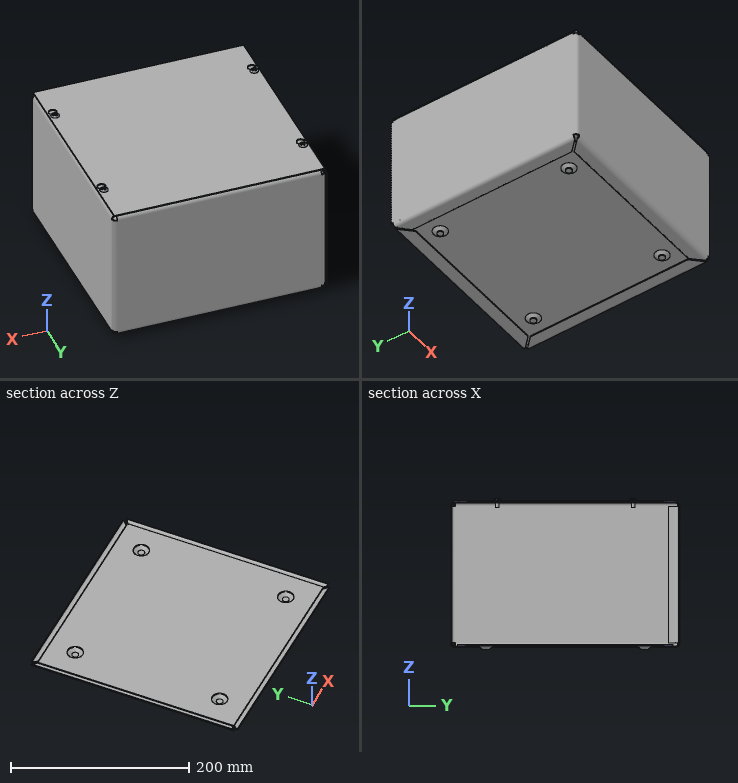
import cadquery as cq
import math

box_side = 257.2
total_height = 170.0
sheet = 1.5
foot_drop = 2.3
head_height = 2.8

bend_outer = 5.1
bend_inner = bend_outer - sheet
flange_width = 18.0
miter_gap = 2.5
miter_length = 4 * flange_width
seam_overrun = 2.5
seam_tab = 7.7
wrapper_bottom = foot_drop
wrapper_top = total_height - head_height - sheet
wrapper_height = wrapper_top - wrapper_bottom
wall_bottom = wrapper_bottom + bend_outer
wall_height = wrapper_height - 2 * bend_outer
half_side = box_side / 2
bend_center = half_side - bend_outer
seam_bend_center = bend_center - sheet

cover_side = 253.0
keyhole_diameter = 9.8
keyhole_slot = 6.0
keyhole_offset = 7.5

screw_x = 119.5
screw_y = 76.0
head_diameter = 9.8
head_rim = 0.3
shank_diameter = 3.9
shank_length = 7.7
recess_span = 6.0
recess_width = 1.3
recess_depth = 1.5
recess_angle = 20.0

panel_clearance = 2.5
foot_pitch = 178.0
foot_tip_diameter = 7.7
foot_slope = 36.0

screw_points = [(x, y) for x in (-screw_x, screw_x) for y in (-screw_y, screw_y)]


def plate(width, depth, thickness, z):
    """Flat rectangular plate centred on the Z axis, with its underside at z."""
    return cq.Workplane("XY").workplane(offset=z).rect(width, depth).extrude(thickness)


def folded_block(side, bottom, height, radius):
    """Block with rounded top and bottom edges and square upright edges."""
    block = plate(side, side, height, bottom)
    return block.edges("|X or |Y").fillet(radius)


def post(x_min, x_max, y_min, y_max, bottom, height):
    """Upright rectangular bar between the given X and Y limits."""
    return (
        cq.Workplane("XY")
        .box(x_max - x_min, y_max - y_min, height, centered=False)
        .translate((x_min, y_min, bottom))
    )


def upright_bend(x, y, x_side, y_side):
    """Quarter ring about (x, y), in the quadrant given by the signs x_side and y_side."""
    diagonal = math.sqrt(0.5)
    outer_mid = bend_outer * diagonal
    inner_mid = bend_inner * diagonal
    return (
        cq.Workplane("XY")
        .workplane(offset=wall_bottom)
        .moveTo(x + x_side * bend_outer, y)
        .threePointArc((x + x_side * outer_mid, y + y_side * outer_mid), (x, y + y_side * bend_outer))
        .lineTo(x, y + y_side * bend_inner)
        .threePointArc((x + x_side * inner_mid, y + y_side * inner_mid), (x + x_side * bend_inner, y))
        .close()
        .extrude(wall_height)
    )


def make_wrapper():
    """Four folded walls with inward flanges, relieved corners and one lapped seam."""
    wrapper = folded_block(box_side, wrapper_bottom, wrapper_height, bend_outer)
    cavity_side = box_side - 2 * sheet
    cavity = folded_block(cavity_side, wrapper_bottom + sheet, wrapper_height - 2 * sheet, bend_inner)
    opening_side = box_side - 2 * flange_width
    wrapper = wrapper.cut(cavity).cut(plate(opening_side, opening_side, wrapper_height, wrapper_bottom))

    for x_side, y_side in ((-1, -1), (1, -1), (1, 1), (-1, 1)):
        at_seam = (x_side, y_side) == (-1, 1)
        overrun = seam_overrun if at_seam else 0
        x_relief = x_side * (bend_center + bend_outer / 2)
        y_relief = y_side * (bend_center + overrun + bend_outer / 2)
        corner = plate(bend_outer, bend_outer, wrapper_height, wrapper_bottom)
        miter = plate(miter_length, miter_gap, wrapper_height, wrapper_bottom)
        miter = miter.rotate((0, 0, 0), (0, 0, 1), 45 * x_side * y_side)
        miter = miter.translate((x_side * bend_center, y_side * (bend_center + overrun), 0))
        wrapper = wrapper.cut(corner.translate((x_relief, y_relief, 0))).cut(miter)

    for x_side, y_side in ((-1, -1), (1, -1), (1, 1)):
        bend = upright_bend(x_side * bend_center, y_side * bend_center, x_side, y_side)
        wrapper = wrapper.union(bend)

    seam_relief = post(
        -bend_center, -seam_bend_center, bend_center, half_side, wrapper_bottom, wrapper_height
    )
    wall_inside = -half_side + sheet
    wall_end = post(-half_side, wall_inside, bend_center, half_side, wall_bottom, wall_height)
    tab = post(
        wall_inside, wall_inside + sheet, bend_center - seam_tab, bend_center, wall_bottom, wall_height
    )
    seam_bend = upright_bend(-seam_bend_center, bend_center, -1, 1)
    wrapper = wrapper.cut(seam_relief).union(wall_end).union(seam_bend).union(tab)

    screw_holes = (
        cq.Workplane("XY")
        .workplane(offset=wrapper_top - sheet)
        .pushPoints(screw_points)
        .circle(shank_diameter / 2)
        .extrude(sheet)
    )
    return wrapper.cut(screw_holes)


def foot_cone(tip_z, top_z):
    """Cone frustum on the Z axis that widens upward from the tip of a foot."""
    tip_radius = foot_tip_diameter / 2
    top_radius = tip_radius + (top_z - tip_z) / math.tan(math.radians(foot_slope))
    return cq.Workplane("XY").add(
        cq.Solid.makeCone(tip_radius, top_radius, top_z - tip_z, pnt=cq.Vector(0, 0, tip_z))
    )


def make_bottom_panel():
    """Panel lying on the bottom flanges, with four hollow feet embossed downward."""
    panel_side = 2 * (bend_center - panel_clearance)
    panel_bottom = wrapper_bottom + sheet
    panel_top = panel_bottom + sheet
    panel = plate(panel_side, panel_side, sheet, panel_bottom)
    foot = foot_cone(0, panel_bottom)
    dimple = foot_cone(sheet, panel_top)
    for x in (-foot_pitch / 2, foot_pitch / 2):
        for y in (-foot_pitch / 2, foot_pitch / 2):
            panel = panel.union(foot.translate((x, y, 0))).cut(dimple.translate((x, y, 0)))
    return panel


def make_cover():
    """Flat cover with a keyhole at each screw."""
    cover = plate(cover_side, cover_side, sheet, wrapper_top)
    for x, y in screw_points:
        base = cq.Workplane("XY").workplane(offset=wrapper_top)
        round_end = base.center(x, y - keyhole_offset).circle(keyhole_diameter / 2).extrude(sheet)
        slot_end = base.center(x, y).circle(keyhole_slot / 2).extrude(sheet)
        slot = base.center(x, y - keyhole_offset / 2).rect(keyhole_slot, keyhole_offset).extrude(sheet)
        cover = cover.cut(round_end).cut(slot_end).cut(slot)
    return cover


def make_screw(x, y):
    """Domed screw with a cross recess, its head resting on the cover."""
    head_bottom = wrapper_top + sheet
    shank_bottom = head_bottom - shank_length
    head_radius = head_diameter / 2
    dome_height = head_height - head_rim
    dome_radius = (head_radius ** 2 + dome_height ** 2) / (2 * dome_height)
    dome_center = total_height - dome_radius
    mid_radius = head_radius / 2
    mid_z = dome_center + math.sqrt(dome_radius ** 2 - mid_radius ** 2)
    screw = (
        cq.Workplane("XZ")
        .moveTo(0, shank_bottom)
        .lineTo(shank_diameter / 2, shank_bottom)
        .lineTo(shank_diameter / 2, head_bottom)
        .lineTo(head_radius, head_bottom)
        .lineTo(head_radius, head_bottom + head_rim)
        .threePointArc((mid_radius, mid_z), (0, total_height))
        .close()
        .revolve(360, (0, 0), (0, 1))
    )
    for angle in (recess_angle, recess_angle + 90):
        blade = plate(recess_span, recess_width, recess_depth, total_height - recess_depth)
        screw = screw.cut(blade.rotate((0, 0, 0), (0, 0, 1), angle))
    return screw.translate((x, y, 0))


wrapper = make_wrapper()
bottom_panel = make_bottom_panel()
cover = make_cover()
screws = [make_screw(x, y) for x, y in screw_points]

result = cq.Compound.makeCompound(
    [wrapper.val(), bottom_panel.val(), cover.val(), *[screw.val() for screw in screws]]
)